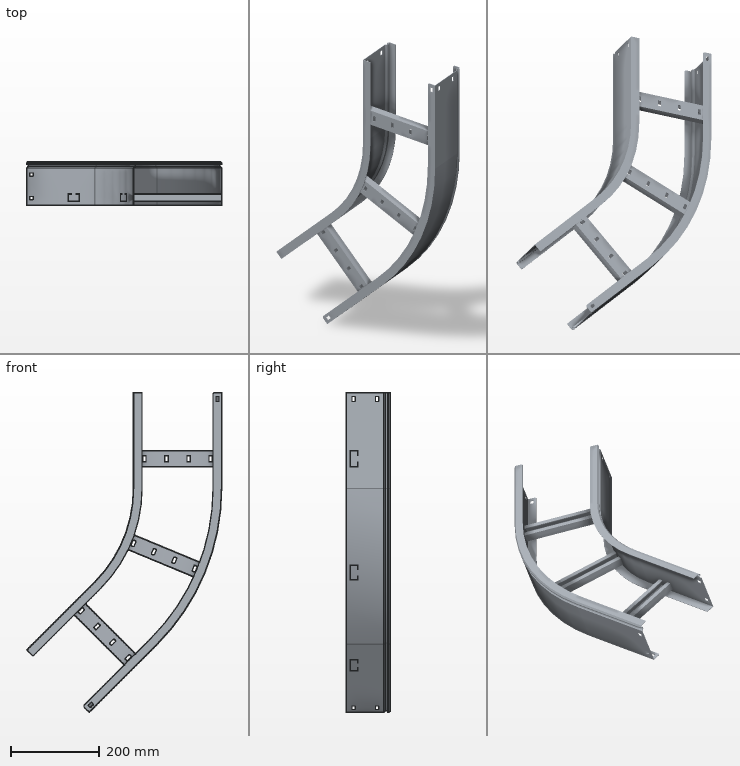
import cadquery as cq
import math

BEND_ANGLE = 45.0
INNER_RADIUS = 299.0
LADDER_WIDTH = 200.5
OUTER_RADIUS = INNER_RADIUS + LADDER_WIDTH
MIDDLE_RADIUS = INNER_RADIUS + LADDER_WIDTH / 2
LEG_LENGTH = 217.0
SHEET = 1.2

RAIL_DEPTH = 100.0
FLANGE_WIDTH = 20.0
BEVEL_WIDTH = 3.0
BEVEL_DEPTH = 4.0
GROOVE_DEPTH = 4.0
GROOVE_STEP_Y = RAIL_DEPTH - 6.5
GROOVE_FLOOR_Y = RAIL_DEPTH - 11.0
GROOVE_SLOPE_Y = RAIL_DEPTH - 14.5

HOLE_WIDTH = 6.9
HOLE_LENGTH = 11.0
HOLE_FROM_END = 14.5
WEB_HOLE_HEIGHTS = (17.0, 70.0)
FLANGE_HOLE_INSET = 10.0
CORNER_CHAMFER = 3.0

RUNG_WIDTH = 37.0
RUNG_FRONT = 9.0
RUNG_DEPTH = 18.0
RUNG_LIP = 11.0
RUNG_FROM_END = 150.0
SLOT_COUNT = 4
SLOT_PITCH = 50.0
SLOT_WIDTH = 6.9
SLOT_LENGTH = 13.0


def heading(start, end):
    """Unit vector from one point to another."""
    length = math.dist(start, end)
    return (end[0] - start[0]) / length, (end[1] - start[1]) / length


def bent_sheet(path):
    """Closed outline of a mitred sheet lying to the left of an open path."""
    headings = [heading(a, b) for a, b in zip(path, path[1:])]
    arriving = [headings[0]] + headings
    leaving = headings + [headings[-1]]
    left_side = []
    for (x, y), (ax, ay), (bx, by) in zip(path, arriving, leaving):
        miter = SHEET / (1 + ax * bx + ay * by)
        left_side.append((x - miter * (ay + by), y + miter * (ax + bx)))
    return path + left_side[::-1]


def to_lower_leg(body):
    """Mirror image of an upper leg body, at the same place on the lower leg."""
    return body.mirror("XY").rotate((0, 0, 0), (0, 1, 0), BEND_ANGLE)


def rail_outline(web_x, inward):
    """Rail section in the XY plane; inward is +1 or -1, the side its flanges point to."""
    path = [
        (FLANGE_WIDTH, RAIL_DEPTH),
        (BEVEL_WIDTH, RAIL_DEPTH),
        (0, RAIL_DEPTH - BEVEL_DEPTH),
        (0, GROOVE_STEP_Y),
        (GROOVE_DEPTH, GROOVE_STEP_Y),
        (GROOVE_DEPTH, GROOVE_FLOOR_Y),
        (0, GROOVE_SLOPE_Y),
        (0, 0),
        (FLANGE_WIDTH, 0),
    ]
    return [(web_x + inward * x, y) for x, y in bent_sheet(path)]


def rail_leg(outline, web_x):
    """Straight upper leg of a rail, with the two holes at the end of its web."""
    web_holes = (
        cq.Workplane("YZ", origin=(web_x, 0, LEG_LENGTH - HOLE_FROM_END))
        .pushPoints([(height, 0) for height in WEB_HOLE_HEIGHTS])
        .rect(HOLE_WIDTH, HOLE_LENGTH)
        .extrude(2 * SHEET, both=True)
    )
    return cq.Workplane("XY").polyline(outline).close().extrude(LEG_LENGTH).cut(web_holes)


def join_rail(outline, leg):
    """One solid from the upper leg, the arc and the lower leg of a rail."""
    arc = cq.Workplane("XY").polyline(outline).close().revolve(BEND_ANGLE, (0, 0), (0, 1))
    return leg.union(arc).union(to_lower_leg(leg))


def inner_rail():
    outline = rail_outline(INNER_RADIUS, 1)
    return join_rail(outline, rail_leg(outline, INNER_RADIUS))


def outer_rail():
    """Outer rail, with chamfered flange corners and a hole in its front flange at both ends."""
    outline = rail_outline(OUTER_RADIUS, -1)
    leg = rail_leg(outline, OUTER_RADIUS)
    leg = leg.faces(">Z").edges("<X").chamfer(CORNER_CHAMFER)
    flange_hole = (
        cq.Workplane("XZ", origin=(OUTER_RADIUS - FLANGE_HOLE_INSET, 0, LEG_LENGTH - HOLE_FROM_END))
        .rect(HOLE_WIDTH, HOLE_LENGTH)
        .extrude(-SHEET)
    )
    return join_rail(outline, leg.cut(flange_hole))


def rung_bar(start_x, end_x):
    """Lipped channel along X, centred on Z = 0, with a row of slots in its front face."""
    half = RUNG_WIDTH / 2
    back = RUNG_FRONT + RUNG_DEPTH
    path = [
        (back, half - RUNG_LIP),
        (back, half),
        (RUNG_FRONT, half),
        (RUNG_FRONT, -half),
        (back, -half),
        (back, RUNG_LIP - half),
    ]
    slots = (
        cq.Workplane("XZ", origin=(MIDDLE_RADIUS, RUNG_FRONT, 0))
        .rarray(SLOT_PITCH, 7, SLOT_COUNT, 1)
        .rect(SLOT_WIDTH, SLOT_LENGTH)
        .extrude(-SHEET)
    )
    bar = (
        cq.Workplane("YZ", origin=(start_x, 0, 0))
        .polyline(bent_sheet(path))
        .close()
        .extrude(end_x - start_x)
    )
    return bar.cut(slots)


def leg_rung():
    """Rung between the flat webs of the upper legs."""
    bar = rung_bar(INNER_RADIUS + SHEET, OUTER_RADIUS - SHEET)
    return bar.translate((0, 0, LEG_LENGTH - RUNG_FROM_END))


def arc_rung():
    """Rung in the middle of the arc, with its ends trimmed to the curved webs."""
    between_webs = (
        cq.Workplane("XZ")
        .circle(OUTER_RADIUS - SHEET)
        .circle(INNER_RADIUS + SHEET)
        .extrude(-RAIL_DEPTH)
    )
    bar = rung_bar(INNER_RADIUS - SHEET, OUTER_RADIUS).intersect(between_webs)
    return bar.rotate((0, 0, 0), (0, 1, 0), BEND_ANGLE / 2)


rails = [inner_rail(), outer_rail()]
upper_rung = leg_rung()
rungs = [upper_rung, arc_rung(), to_lower_leg(upper_rung)]

result = cq.Compound.makeCompound([body.solids().val() for body in rails + rungs])